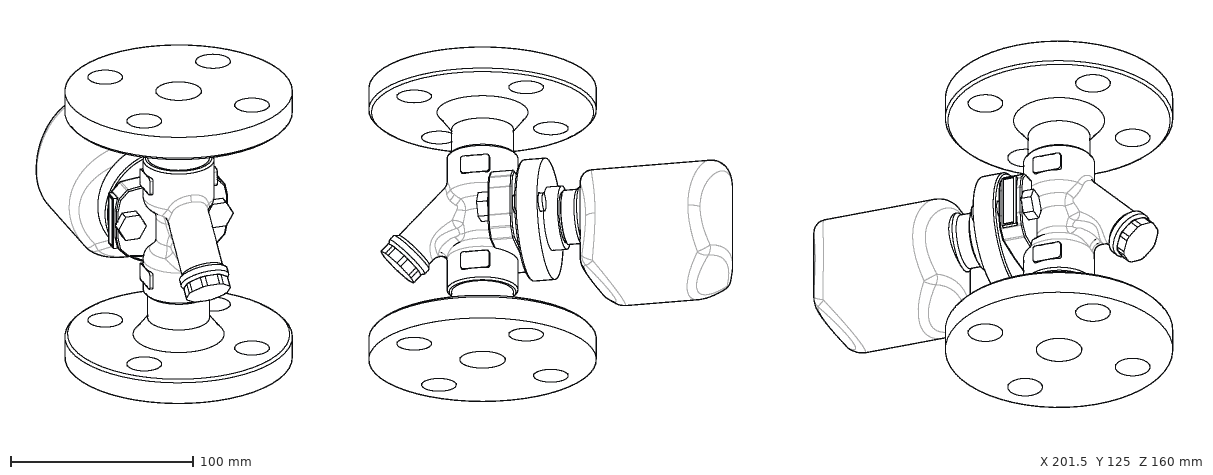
import cadquery as cq
import math


overall_height = 160
flange_dia = 125
flange_thickness = 14
flange_chamfer = 1.5
bolt_circle_dia = 89
flange_hole_dia = 19
bore_dia = 25
cone_dia = 50
cone_length = 10
pipe_dia = 34

barrel_dia = 39
barrel_length = 80
barrel_chamfer = 1.2
waist_dia = 25
waist_top = 4.6
waist_bottom = -8.3
waist_blend = 12.4
bore_depth = (overall_height - barrel_length) / 2
pad_width = 16
pad_height = 10
pad_corner = 1.5
pad_offset = 28.3
pad_proud = 0.2
pad_embed = 2

strainer_angle = 45
strainer_origin_height = 26.7
strainer_dia = 23
strainer_collar_dia = 27
strainer_collar_start = 54.6
collar_bevel = strainer_collar_dia / 2 - strainer_dia / 2
bevel_clearance = 0.01
collar_land_end = 60
cap_start = 62
cap_end = 67.8
cap_side_count = 8
cap_across_flats = 24
cap_corner_dia = 25
outlet_dia = 17
outlet_height = -8
outlet_reach = 28
strainer_blend = 5

mount_left = -23.5
mount_right = -10
mount_half_height = 22
mount_half_width = 32.5
mount_arc_end = (26, 20)
mount_corner = (31, 15)
mount_side_height = 8
mount_chamfer = 0.8
mount_corner_radius = 1.5
tag_left = -21.1
tag_right = -12.9
tag_half_height = 15
tag_proud = 0.8
tag_embed = 1
plate_left = -20.1
plate_right = -14.3
plate_half_height = 14.2
plate_proud = 0.5

bolt_dia = 10
bolt_hole_dia = 10.5
bolt_offset = 25.4
bolt_end = -40.2
bolt_head_length = 6
bolt_head_sides = 6
bolt_head_across_flats = 14

disc_dia = 67
disc_left = -38
disc_right = -25.2
disc_chamfer = 1
spigot_dia = 35
spigot_left = -46

head_dia = 76
head_left = -139
head_length = 82.5
head_axis_height = -14
head_end_radius = 70
head_bevel = 20
head_fillet = 7
stem_dia = 30
stem_root_dia = 33
stem_root_length = 1.8
stem_embed = 15
stem_neck_dia = 28
stem_neck_length = 1.2


def x_cylinder(diameter, x_start, x_end, y=0, z=0):
    """Round bar along X."""
    return cq.Workplane("YZ", origin=(x_start, y, z)).circle(diameter / 2).extrude(x_end - x_start)


def box_between(x_range, y_range, z_range):
    """Box from its lower and upper limits on each axis."""
    sizes = [high - low for low, high in (x_range, y_range, z_range)]
    corner = (x_range[0], y_range[0], z_range[0])
    return cq.Workplane("XY").box(*sizes, centered=False).translate(corner)


def make_barrel():
    """Drilled flanges, weld necks, bored pipes and waisted barrel turned about Z."""
    top = overall_height / 2
    inner_face = top - flange_thickness
    cone_end = inner_face - cone_length
    barrel_end = barrel_length / 2
    flange_r = flange_dia / 2
    pipe_r = pipe_dia / 2
    barrel_r = barrel_dia / 2
    waist_r = waist_dia / 2
    middle_r = (barrel_r + waist_r) / 2
    upper_middle = waist_top + waist_blend / 2
    lower_middle = waist_bottom - waist_blend / 2
    half = (
        cq.Workplane("XZ")
        .moveTo(0, top)
        .lineTo(flange_r, top)
        .lineTo(flange_r, inner_face + flange_chamfer)
        .lineTo(flange_r - flange_chamfer, inner_face)
        .lineTo(cone_dia / 2, inner_face)
        .lineTo(pipe_r, cone_end)
        .lineTo(pipe_r, barrel_end)
        .lineTo(barrel_r - barrel_chamfer, barrel_end)
        .lineTo(barrel_r, barrel_end - barrel_chamfer)
        .lineTo(barrel_r, waist_top + waist_blend)
        .tangentArcPoint((middle_r, upper_middle), relative=False)
        .tangentArcPoint((waist_r, waist_top), relative=False)
        .lineTo(waist_r, waist_bottom)
        .tangentArcPoint((middle_r, lower_middle), relative=False)
        .tangentArcPoint((barrel_r, waist_bottom - waist_blend), relative=False)
        .lineTo(barrel_r, barrel_chamfer - barrel_end)
        .lineTo(barrel_r - barrel_chamfer, -barrel_end)
        .lineTo(pipe_r, -barrel_end)
        .lineTo(pipe_r, -cone_end)
        .lineTo(cone_dia / 2, -inner_face)
        .lineTo(flange_r - flange_chamfer, -inner_face)
        .lineTo(flange_r, -inner_face - flange_chamfer)
        .lineTo(flange_r, -top)
        .lineTo(0, -top)
        .close()
    )
    barrel = half.revolve(360, (0, 0, 0), (0, 1, 0))
    hole_spacing = bolt_circle_dia / math.sqrt(2)
    holes = (
        cq.Workplane("XY", origin=(0, 0, -top))
        .rect(hole_spacing, hole_spacing, forConstruction=True)
        .vertices()
        .circle(flange_hole_dia / 2)
        .extrude(overall_height)
    )
    bore = cq.Workplane("XY").circle(bore_dia / 2).extrude(bore_depth)
    bores = bore.translate((0, 0, top - bore_depth)).union(bore.translate((0, 0, -top)))
    return barrel.cut(holes).cut(bores)


def strainer_plane(distance):
    """Plane square to the strainer axis, at a distance from where it meets the pipe axis."""
    slope = math.radians(strainer_angle)
    direction = (math.cos(slope), 0, -math.sin(slope))
    origin = (distance * direction[0], 0, strainer_origin_height + distance * direction[2])
    return cq.Plane(origin=origin, xDir=(0, 1, 0), normal=direction)


def make_strainer_leg():
    """Plain sloping leg that runs into the barrel."""
    leg_length = strainer_collar_start + collar_bevel
    return cq.Workplane(strainer_plane(0)).circle(strainer_dia / 2).extrude(leg_length)


def make_strainer_cap():
    """Bevelled collar and faceted cap at the end of the strainer leg."""
    collar = (
        cq.Workplane(strainer_plane(strainer_collar_start))
        .circle(strainer_collar_dia / 2)
        .extrude(cap_start - strainer_collar_start)
        .faces(cq.selectors.DirectionMinMaxSelector(strainer_plane(0).zDir, False))
        .chamfer(collar_bevel - bevel_clearance)
        .faces(cq.selectors.DirectionMinMaxSelector(strainer_plane(0).zDir, True))
        .chamfer(cap_start - collar_land_end, (strainer_collar_dia - cap_across_flats) / 2)
    )
    corner_dia = cap_across_flats / math.cos(math.pi / cap_side_count)
    cap = (
        cq.Workplane(strainer_plane(cap_start))
        .transformed(rotate=(0, 0, 180 / cap_side_count))
        .polygon(cap_side_count, corner_dia)
        .extrude(cap_end - cap_start)
    )
    corner_round = cq.Workplane(strainer_plane(cap_start)).circle(cap_corner_dia / 2)
    cap = cap.intersect(corner_round.extrude(cap_end - cap_start))
    return collar.union(cap)


def make_mount():
    """Two-bolt mounting flange with the raised tag on its -Y side."""
    arc_y, arc_z = mount_arc_end
    corner_y, corner_z = mount_corner
    side_y, side_z = mount_half_width, mount_side_height
    mount = (
        cq.Workplane("YZ", origin=(mount_left, 0, 0))
        .moveTo(-arc_y, arc_z)
        .threePointArc((0, mount_half_height), (arc_y, arc_z))
        .lineTo(corner_y, corner_z)
        .lineTo(side_y, side_z)
        .lineTo(side_y, -side_z)
        .lineTo(corner_y, -corner_z)
        .lineTo(arc_y, -arc_z)
        .threePointArc((0, -mount_half_height), (-arc_y, -arc_z))
        .lineTo(-corner_y, -corner_z)
        .lineTo(-side_y, -side_z)
        .lineTo(-side_y, side_z)
        .lineTo(-corner_y, corner_z)
        .close()
        .extrude(mount_right - mount_left)
        .edges("|X")
        .fillet(mount_corner_radius)
        .faces("<X or >X")
        .chamfer(mount_chamfer)
    )
    tag_face = -mount_half_width - tag_proud
    plate_face = tag_face - plate_proud
    tag = box_between(
        (tag_left, tag_right), (tag_face, -corner_y + tag_embed), (-tag_half_height, tag_half_height)
    )
    plate = box_between(
        (plate_left, plate_right), (plate_face, tag_face), (-plate_half_height, plate_half_height)
    )
    return mount.union(tag).union(plate)


def make_bolt(side):
    """Hexagon bolt through the mounting flange; side is +1 or -1 along Y."""
    y = side * bolt_offset
    corner_dia = bolt_head_across_flats / math.cos(math.pi / bolt_head_sides)
    head_outline = cq.Workplane("YZ", origin=(mount_right, y, 0)).polygon(bolt_head_sides, corner_dia)
    bolt_head = head_outline.extrude(bolt_head_length)
    return x_cylinder(bolt_dia, bolt_end, mount_right, y).union(bolt_head)


def make_pad(side, z):
    """Flat raised pad on the barrel; side is +1 or -1 along Y."""
    depth = barrel_dia / 2 + pad_proud - pipe_dia / 2 + pad_embed
    centre_y = side * (barrel_dia / 2 + pad_proud - depth / 2)
    return (
        cq.Workplane("XY")
        .box(pad_width, depth, pad_height)
        .edges("|Y")
        .fillet(pad_corner)
        .translate((0, centre_y, z))
    )


def make_valve():
    """Flanged valve with strainer leg, mounting flange and its bolts."""
    body = make_barrel().union(make_strainer_leg())
    body = body.union(x_cylinder(outlet_dia, 0, outlet_reach, z=outlet_height))
    body = body.edges("%BSPLINE").fillet(strainer_blend)
    body = body.union(make_strainer_cap()).union(make_mount())
    for side in (1, -1):
        body = body.union(make_bolt(side))
        for z in (pad_offset, -pad_offset):
            body = body.union(make_pad(side, z))
    return body


def make_trap():
    """Disc with a spigot on both faces and clearance holes for the bolts."""
    disc = x_cylinder(disc_dia, disc_left, disc_right).faces(">X").chamfer(disc_chamfer)
    trap_body = disc.union(x_cylinder(spigot_dia, spigot_left, mount_left))
    for side in (1, -1):
        trap_body = trap_body.cut(x_cylinder(bolt_hole_dia, disc_left, disc_right, side * bolt_offset))
    return trap_body


def make_head_housing():
    """Round actuator housing along X with bowed ends and a bevelled underside."""
    right = head_left + head_length
    radius = head_dia / 2
    bottom = head_axis_height - radius
    top = head_axis_height + radius
    bow = head_end_radius - math.sqrt(head_end_radius**2 - radius**2)
    drum = x_cylinder(head_dia, head_left, right, z=head_axis_height)
    plan = (
        cq.Workplane("XY", origin=(0, 0, bottom))
        .moveTo(head_left + bow, radius)
        .threePointArc((head_left, 0), (head_left + bow, -radius))
        .lineTo(right - bow, -radius)
        .threePointArc((right, 0), (right - bow, radius))
        .close()
        .extrude(head_dia)
    )
    profile = (
        cq.Workplane("XZ")
        .moveTo(head_left, top)
        .lineTo(right, top)
        .lineTo(right, bottom + head_bevel)
        .lineTo(right - head_bevel, bottom)
        .lineTo(head_left + head_bevel, bottom)
        .lineTo(head_left, bottom + head_bevel)
        .close()
        .extrude(radius, both=True)
    )
    housing = drum.intersect(plan).intersect(profile)
    return housing.edges().fillet(head_fillet)


def make_stem():
    """Turned stem from the head housing to the trap spigot."""
    root = head_left + head_length
    neck = spigot_left - stem_neck_length
    return (
        cq.Workplane("XY")
        .moveTo(root - stem_embed, 0)
        .lineTo(root - stem_embed, stem_root_dia / 2)
        .lineTo(root, stem_root_dia / 2)
        .lineTo(root + stem_root_length, stem_dia / 2)
        .lineTo(neck, stem_dia / 2)
        .lineTo(neck, stem_neck_dia / 2)
        .lineTo(spigot_left, stem_neck_dia / 2)
        .lineTo(spigot_left, 0)
        .close()
        .revolve(360, (0, 0, 0), (1, 0, 0))
    )


valve = make_valve()
trap = make_trap()
head = make_head_housing().union(make_stem())
result = cq.Compound.makeCompound([valve.val(), trap.val(), head.val()])